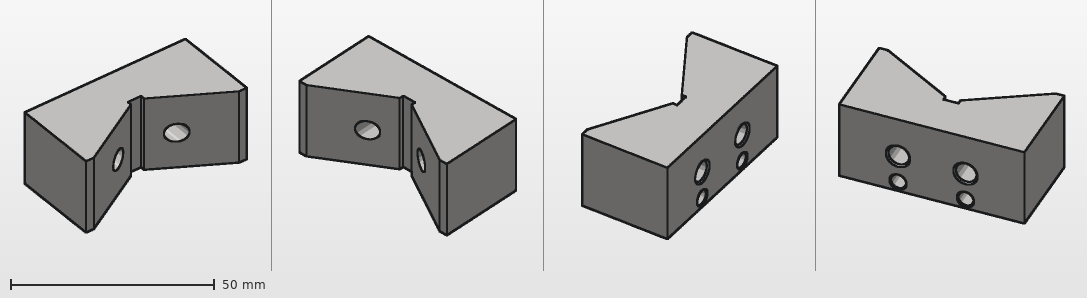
import cadquery as cq
import math

depth = 25.0
length = 49.5
height = 22.0

end_land = 2.4
flank_angle = 60.0
slot_width = 4.0
slot_floor = 12.0

hole_pitch = 18.0
bolt_diameter = 5.5
bolt_mouth_diameter = 6.5
bolt_height = 10.7
pin_diameter = 4.0
pin_mouth_diameter = 4.6
pin_height = 2.75
pin_depth = 8.0

mouth_half_width = length / 2 - end_land
slot_half_width = slot_width / 2
notch_root = depth - (mouth_half_width - slot_half_width) / math.tan(math.radians(flank_angle))


def notched_block():
    """Block with its back face on X = 0, centred on Y, with the V open to +X."""
    outline = [
        (0, -length / 2),
        (depth, -length / 2),
        (depth, -mouth_half_width),
        (notch_root, -slot_half_width),
        (slot_floor, -slot_half_width),
        (slot_floor, slot_half_width),
        (notch_root, slot_half_width),
        (depth, mouth_half_width),
        (depth, length / 2),
        (0, length / 2),
    ]
    return cq.Workplane("XY").polyline(outline).close().extrude(height)


def chamfered_hole(y, z, diameter, mouth_diameter, hole_depth):
    """Cutter along +X with a 45 degree chamfer at the back face."""
    radius = diameter / 2
    mouth_radius = mouth_diameter / 2
    profile = [
        (0, 0),
        (0, mouth_radius),
        (mouth_radius - radius, radius),
        (hole_depth, radius),
        (hole_depth, 0),
    ]
    cutter = cq.Workplane("XY").polyline(profile).close().revolve(360, (0, 0), (1, 0))
    return cutter.translate((0, y, z))


result = notched_block()
for y in (-hole_pitch / 2, hole_pitch / 2):
    result = result.cut(chamfered_hole(y, bolt_height, bolt_diameter, bolt_mouth_diameter, depth))
    result = result.cut(chamfered_hole(y, pin_height, pin_diameter, pin_mouth_diameter, pin_depth))